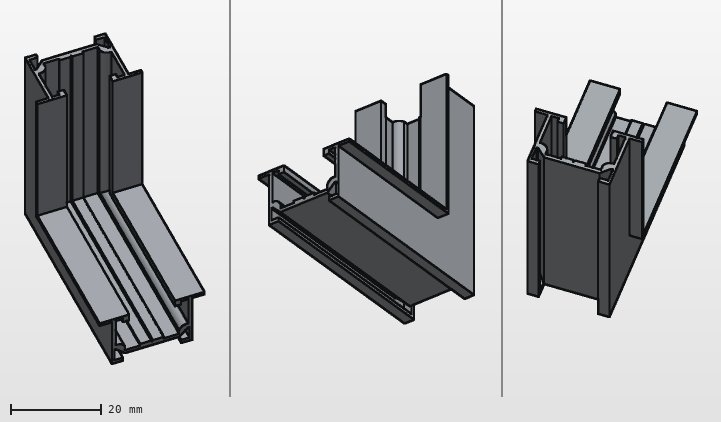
import cadquery as cq
import math

leg_length = 50.0

wall_half = 9.65
lip_wall = 0.65
lip_thickness = 1.0
wall_thickness = 0.95
wall_inner = wall_half - wall_thickness
lip_inner = wall_half - lip_wall
lip_tip = 7.0

flange_half = 12.6
flange_tip = 5.5
profile_depth = 14.2
flange_thickness = 0.8
flange_depth = profile_depth - flange_thickness
return_lip = 1.0
return_width = 1.5

web_depth = 2.2
web_thickness = 1.0
web_inner = web_depth + web_thickness
web_half = 6.5
pad_half = 2.85
pad_height = 0.5
pad_depth = web_inner + pad_height
groove_half = 0.2
groove_depth = 0.35

blend_radius = 2.0
blend_end_depth = 5.7
blend_center_depth = blend_end_depth - blend_radius
blend_center_half = 8.4
blend_start = blend_center_depth + math.sqrt(
    blend_radius**2 - (blend_center_half - web_half) ** 2
)
slope_depth = 4.2
slope_end = 8.6


def half_leg():
    """Untrimmed +Y half of a leg: wall, lip, flange, web and blend."""
    return (
        cq.Workplane("XY")
        .moveTo(web_depth, 0)
        .lineTo(web_depth, web_half)
        .lineTo(slope_depth, slope_end)
        .lineTo(slope_depth, lip_inner)
        .lineTo(lip_thickness, lip_inner)
        .lineTo(lip_thickness, lip_tip)
        .lineTo(0, lip_tip)
        .lineTo(0, wall_half)
        .lineTo(flange_depth, wall_half)
        .lineTo(flange_depth, flange_half)
        .lineTo(profile_depth, flange_half)
        .lineTo(profile_depth, flange_tip)
        .lineTo(flange_depth - return_lip, flange_tip)
        .lineTo(flange_depth - return_lip, flange_tip + return_width)
        .lineTo(flange_depth, flange_tip + return_width)
        .lineTo(flange_depth, wall_inner)
        .lineTo(blend_end_depth, wall_inner)
        .lineTo(blend_end_depth, blend_center_half)
        .radiusArc((blend_start, web_half), blend_radius)
        .lineTo(web_inner, web_half)
        .lineTo(web_inner, pad_half)
        .lineTo(pad_depth, pad_half)
        .lineTo(pad_depth, groove_half)
        .lineTo(pad_depth - groove_depth, 0)
        .close()
        .extrude(leg_length)
    )


def upright_leg():
    """Full-length leg along Z, trimmed by the mitre plane X = Z."""
    half = half_leg()
    leg = half.union(half.mirror("XZ"))
    mitre_waste = (
        cq.Workplane("XZ")
        .polyline([(0, 0), (leg_length, 0), (leg_length, leg_length)])
        .close()
        .extrude(flange_half, both=True)
    )
    return leg.cut(mitre_waste)


upright = upright_leg()

level = upright.rotate((0, 0, 0), (0, 1, 0), 90).mirror("XY")

result = upright.union(level)